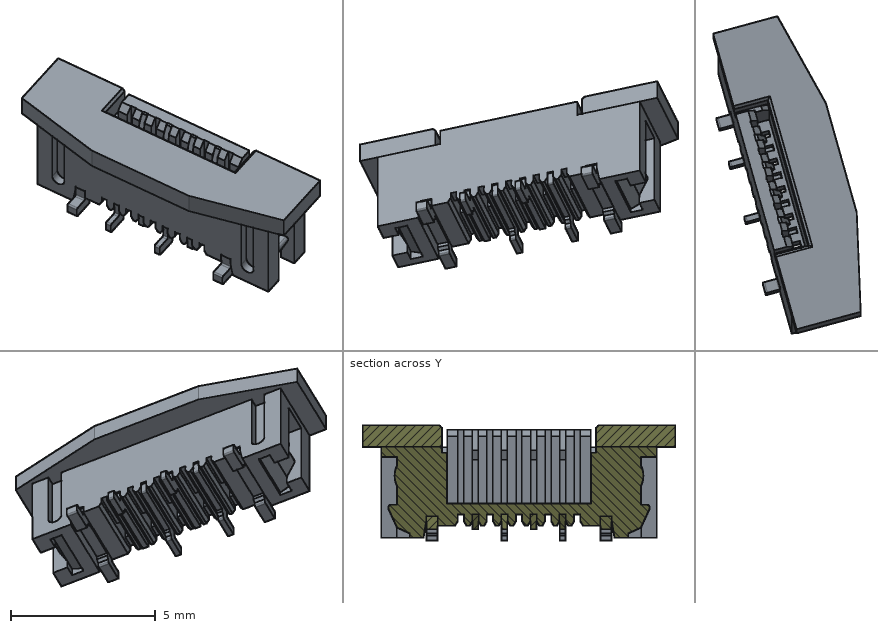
import cadquery as cq


TOTAL_HEIGHT = 4.0
COVER_LENGTH = 10.8
COVER_HEIGHT = 0.76
COVER_DEPTH = 3.1
COVER_NOSE_LENGTH = 4.0
NOTCH_LENGTH = 5.31
NOTCH_FRONT_Y = -0.05
NOTCH_CHAMFER = 0.1

HOUSING_LENGTH = 9.53
HOUSING_DEPTH = 2.3
HOUSING_BOTTOM = 0.11
RAISED_BOTTOM = 0.52
RAISED_HALF_LENGTH = 3.29
STRIP_LENGTH = 4.97
STRIP_TOP = 3.85
STRIP_BEVEL = 0.24

CAVITY_BACK_Y = 0.46
CAVITY_FLOOR = 1.3
RAMP_BACK_Y = 0.19
RAMP_DROP = 0.25

GROOVE_WIDTH = 0.5
GROOVE_DEPTH = 0.32
GROOVE_X = 3.9
GROOVE_BOTTOM = 0.6

PITCH = 1.0
CONTACT_COUNT = 4
SLOT_WIDTH = 0.2
SLOT_FRONT_Y = 0.06
SLOT_BACK_Y = 0.72
CHANNEL_TOP = 0.91
FLARE_TOP = 0.68
FLARE = 0.1

NAIL_X = 3.0
NAIL_WIDTH = 0.39
NAIL_TOP = 0.84

RECESS_WIDTH = 0.97
RECESS_DEPTH = 0.55
RECESS_TOP = 2.89
BUMP_TOP = 2.6
BUMP_BOTTOM = 1.89
BUMP_HEIGHT = 0.09
HOOK_REACH = 0.37
HOOK_TOP = 1.25
HOOK_RADIUS = 0.11
HOOK_ROOT = 0.45
UNDERCUT = 0.43
UNDERCUT_WIDTH = 1.73
UNDERCUT_BOTTOM = 0.26

FOOT_REACH = 0.5
FOOT_HEIGHT = 0.4
FOOT_ROUND = 0.05
FOOT_INNER_Y = 0.83
HEEL_HEIGHT = 0.17
HEEL_STEP = 0.11
HEEL_STEP_TOP = 0.26
BAR_SETBACK = 0.03
BAR_ROUND = 0.04
BEAM_TIP_Y = 0.63
BEAM_NOSE_Y = 0.33
BEAM_NOSE_Z = 3.13
BEAM_NECK_Z = 2.81

COVER_BOTTOM = TOTAL_HEIGHT - COVER_HEIGHT
BACK_Y = HOUSING_DEPTH / 2
FRONT_Y = -BACK_Y
COVER_FRONT_Y = BACK_Y - COVER_DEPTH
HALF_LENGTH = HOUSING_LENGTH / 2
RECESS_WALL_X = RECESS_DEPTH - HALF_LENGTH
HALF_STRIP = STRIP_LENGTH / 2
BAR_END_Y = BACK_Y - BAR_SETBACK
FOOT_END_Y = BACK_Y + FOOT_REACH
SLOT_COUNT = 2 * CONTACT_COUNT + 1
SLOT_XS = [(i - CONTACT_COUNT) * PITCH / 2 for i in range(SLOT_COUNT)]
CONTACT_XS = SLOT_XS[1::2]


def box(x0, x1, y0, y1, z0, z1):
    """Box between opposite corner coordinates."""
    return cq.Workplane("XY").box(x1 - x0, y1 - y0, z1 - z0, centered=False).translate((x0, y0, z0))


def through_depth(outline):
    """Extrude an XZ outline through the whole housing depth."""
    return outline.close().extrude(HOUSING_DEPTH / 2, both=True)


def make_cover():
    half = COVER_LENGTH / 2
    nose = COVER_NOSE_LENGTH / 2
    outline = [
        (-half, BACK_Y), (-half, FRONT_Y), (-nose, COVER_FRONT_Y),
        (nose, COVER_FRONT_Y), (half, FRONT_Y), (half, BACK_Y),
    ]
    plate = cq.Workplane("XY").workplane(offset=COVER_BOTTOM).polyline(outline).close().extrude(COVER_HEIGHT)
    half_notch = NOTCH_LENGTH / 2
    notch = box(-half_notch, half_notch, NOTCH_FRONT_Y, BACK_Y, COVER_BOTTOM, TOTAL_HEIGHT)
    lower_z = TOTAL_HEIGHT - NOTCH_CHAMFER
    back_run = BACK_Y + NOTCH_CHAMFER
    bevel = (
        cq.Workplane("XY").workplane(offset=lower_z)
        .center(0, (NOTCH_FRONT_Y + back_run) / 2)
        .rect(NOTCH_LENGTH, back_run - NOTCH_FRONT_Y)
        .workplane(offset=NOTCH_CHAMFER)
        .rect(NOTCH_LENGTH + 2 * NOTCH_CHAMFER, back_run - NOTCH_FRONT_Y + 2 * NOTCH_CHAMFER)
        .loft(ruled=True)
    )
    return plate.cut(notch).cut(bevel)


def make_strip():
    """Raised strip that stands in the cover notch, bevelled towards the cavity."""
    outline = [
        (BACK_Y, COVER_BOTTOM), (BACK_Y, STRIP_TOP), (CAVITY_BACK_Y + STRIP_BEVEL, STRIP_TOP),
        (CAVITY_BACK_Y, STRIP_TOP - STRIP_BEVEL), (CAVITY_BACK_Y, COVER_BOTTOM),
    ]
    return cq.Workplane("YZ").polyline(outline).close().extrude(HALF_STRIP, both=True)


def make_cavity():
    """Cable cavity, with a lead-in ramp beside each end."""
    cavity = box(-HALF_STRIP, HALF_STRIP, NOTCH_FRONT_Y, CAVITY_BACK_Y, CAVITY_FLOOR, COVER_BOTTOM)
    ramp_outline = [
        (RAMP_BACK_Y, COVER_BOTTOM), (NOTCH_FRONT_Y, COVER_BOTTOM - RAMP_DROP), (NOTCH_FRONT_Y, COVER_BOTTOM),
    ]
    ramps = cq.Workplane("YZ").polyline(ramp_outline).close().extrude(NOTCH_LENGTH / 2, both=True)
    return cavity.union(ramps)


def make_underside():
    """Clearance under the middle of the housing, narrowing up to the nail channels."""
    channel_edge = NAIL_X + NAIL_WIDTH / 2
    inner_edge = NAIL_X - NAIL_WIDTH / 2
    outline = cq.Workplane("XZ").polyline([
        (-RAISED_HALF_LENGTH, HOUSING_BOTTOM), (-channel_edge, FLARE_TOP), (-channel_edge, NAIL_TOP),
        (-inner_edge, NAIL_TOP), (-inner_edge, RAISED_BOTTOM),
        (inner_edge, RAISED_BOTTOM), (inner_edge, NAIL_TOP),
        (channel_edge, NAIL_TOP), (channel_edge, FLARE_TOP), (RAISED_HALF_LENGTH, HOUSING_BOTTOM),
    ])
    return through_depth(outline)


def make_contact_slot(x):
    """Flared channel through the housing depth, opening upward into a narrow slot."""
    half = SLOT_WIDTH / 2
    wide = half + FLARE
    outline = cq.Workplane("XZ").polyline([
        (x - wide, RAISED_BOTTOM), (x - half, FLARE_TOP), (x - half, CHANNEL_TOP),
        (x + half, CHANNEL_TOP), (x + half, FLARE_TOP), (x + wide, RAISED_BOTTOM),
    ])
    riser = box(x - half, x + half, SLOT_FRONT_Y, SLOT_BACK_Y, CHANNEL_TOP, STRIP_TOP)
    return through_depth(outline).union(riser)


def make_groove(x):
    """Blind groove in the front face with a round lower end."""
    radius = GROOVE_WIDTH / 2
    arc_z = GROOVE_BOTTOM + radius
    return (
        cq.Workplane("XZ", origin=(0, FRONT_Y, 0))
        .moveTo(x - radius, COVER_BOTTOM).lineTo(x - radius, arc_z)
        .threePointArc((x, GROOVE_BOTTOM), (x + radius, arc_z))
        .lineTo(x + radius, COVER_BOTTOM).close().extrude(-GROOVE_DEPTH)
    )


def make_end_recess():
    """Recess in the left end, shaped around a shallow bump and a hook."""
    outer_x = -HALF_LENGTH
    hook_x = RECESS_WALL_X - HOOK_REACH
    recess = (
        cq.Workplane("XZ")
        .moveTo(outer_x, RECESS_TOP).lineTo(RECESS_WALL_X, RECESS_TOP).lineTo(RECESS_WALL_X, BUMP_TOP)
        .threePointArc(
            (RECESS_WALL_X - BUMP_HEIGHT, (BUMP_TOP + BUMP_BOTTOM) / 2), (RECESS_WALL_X, BUMP_BOTTOM)
        )
        .lineTo(RECESS_WALL_X, HOOK_TOP).lineTo(hook_x, HOOK_TOP).lineTo(RECESS_WALL_X, HOOK_ROOT)
        .lineTo(RECESS_WALL_X, HOUSING_BOTTOM).lineTo(outer_x, HOUSING_BOTTOM).close()
        .extrude(RECESS_WIDTH / 2, both=True)
    )
    hook_tip = cq.selectors.NearestToPointSelector((hook_x, 0, HOOK_TOP))
    return recess.edges(hook_tip).fillet(HOOK_RADIUS)


def make_undercut():
    """Pocket in the underside behind the left recess, with a sloping roof."""
    inner_x = RECESS_WALL_X + UNDERCUT
    outline = [
        (RECESS_WALL_X, HOUSING_BOTTOM), (RECESS_WALL_X, HOOK_ROOT),
        (inner_x, UNDERCUT_BOTTOM), (inner_x, HOUSING_BOTTOM),
    ]
    return cq.Workplane("XZ").polyline(outline).close().extrude(UNDERCUT_WIDTH / 2, both=True)


def make_housing():
    body = box(-HALF_LENGTH, HALF_LENGTH, FRONT_Y, BACK_Y, HOUSING_BOTTOM, COVER_BOTTOM)
    body = body.union(make_strip()).cut(make_cavity()).cut(make_underside())
    for x in SLOT_XS:
        body = body.cut(make_contact_slot(x))
    for x in (-GROOVE_X, GROOVE_X):
        body = body.cut(make_groove(x))
    for pocket in (make_end_recess(), make_undercut()):
        body = body.cut(pocket).cut(pocket.mirror("YZ"))
    return body


def make_bar(width, top):
    """Bar through the housing depth, centred on X = 0, with rounded ends."""
    half = width / 2
    bar = box(-half, half, -BAR_END_Y, BAR_END_Y, FOOT_HEIGHT, top)
    return bar.faces("<Y or >Y").edges("|X").fillet(BAR_ROUND)


def make_foot(width, bar_top):
    """Foot at the +Y side, with its root under the bar and its solder end outside."""
    step_y = FOOT_INNER_Y - HEEL_STEP
    root_z = (FOOT_HEIGHT + bar_top) / 2
    r = FOOT_ROUND
    outline = [
        (step_y, root_z), (step_y, HEEL_STEP_TOP), (FOOT_INNER_Y, HEEL_HEIGHT),
        (FOOT_INNER_Y, 0), (FOOT_END_Y, 0), (FOOT_END_Y, FOOT_HEIGHT), (BAR_END_Y + r, FOOT_HEIGHT),
    ]
    foot = (
        cq.Workplane("YZ").polyline(outline)
        .radiusArc((BAR_END_Y, FOOT_HEIGHT + r), r).lineTo(BAR_END_Y, root_z).close()
        .extrude(width / 2, both=True)
    )
    foot = foot.faces("<Z").edges("|X").fillet(r)
    return foot.faces(">Y").edges(">Z").fillet(r)


def make_beam():
    """Upright spring beam whose nose stands out into the cable cavity."""
    outline = [
        (SLOT_BACK_Y, CHANNEL_TOP), (SLOT_BACK_Y, STRIP_TOP), (BEAM_TIP_Y, STRIP_TOP),
        (BEAM_NOSE_Y, BEAM_NOSE_Z), (CAVITY_BACK_Y, BEAM_NECK_Z), (CAVITY_BACK_Y, CHANNEL_TOP),
    ]
    return cq.Workplane("YZ").polyline(outline).close().extrude(SLOT_WIDTH / 2, both=True)


def make_contact(x, foot_at_back):
    """Contact with its foot at the +Y face or at the -Y face."""
    foot = make_foot(SLOT_WIDTH, CHANNEL_TOP)
    if not foot_at_back:
        foot = foot.mirror("XZ")
    return make_bar(SLOT_WIDTH, CHANNEL_TOP).union(make_beam()).union(foot).translate((x, 0, 0))


def make_nail(x):
    """Hold-down nail: a bar across the housing with a foot at each face."""
    foot = make_foot(NAIL_WIDTH, NAIL_TOP)
    return make_bar(NAIL_WIDTH, NAIL_TOP).union(foot).union(foot.mirror("XZ")).translate((x, 0, 0))


cover = make_cover()
housing = make_housing()
contacts = [make_contact(x, i % 2 == 1) for i, x in enumerate(CONTACT_XS)]
nails = [make_nail(x) for x in (-NAIL_X, NAIL_X)]

bodies = [cover, housing, *contacts, *nails]

result = cq.Compound.makeCompound([body.solids().val() for body in bodies])